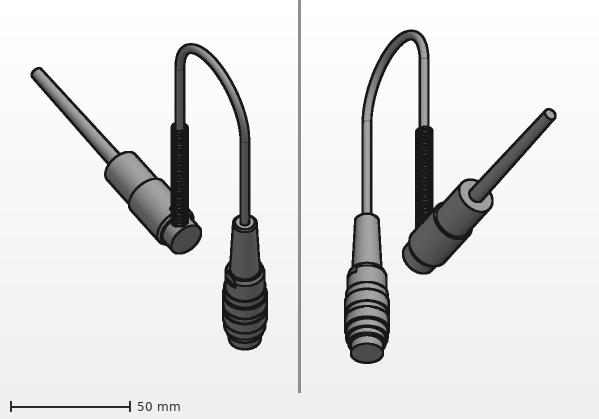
import cadquery as cq
import math


OVERALL_LENGTH = 169.5

ROD_TIP_DIAMETER = 5.1
ROD_BASE_DIAMETER = 6.5

BARREL_DIAMETER = 16.0
GRIP_DIAMETER = 18.1
STUB_DIAMETER = 15.0
BARREL_START = -45.3
GRIP_START = -25.3
GRIP_END = -2.0
STUB_END = 5.0
GRIP_CHAMFER_LENGTH = 1.5
GRIP_CHAMFER_DEPTH = 0.8
VENT_DIAMETER = 1.5
VENT_X = -6.1
VENT_DEPTH = 2.5

CABLE_DIAMETER = 3.7
LEG_SPACING = 50.0
BEND_CENTER_Z = 100.0

SPRING_DIAMETER = 7.0
WIRE_DIAMETER = 1.0
SPRING_TURNS = 29
SPRING_PITCH = 2 * WIRE_DIAMETER
SPRING_SEAT_Z = 5.5

CONNECTOR_X = LEG_SPACING
CONNECTOR_BOTTOM_Z = -20.0
PLUG_DIAMETER = 13.5
COLLAR_DIAMETER = 15.6
SLEEVE_DIAMETER = 17.5
BAND_DIAMETER = 18.5
SHELL_DIAMETER = 16.5
SHELL_TOP_DIAMETER = 14.5
PLUG_TOP = 4.4
COLLAR_CHAMFER = 0.7
COLLAR_TOP = 8.0
SLEEVE_TOP = 30.9
BAND_TAPER_LENGTH = 0.7
LOWER_BAND_START = 11.7
UPPER_BAND_END = 27.3
GROOVE_BOTTOM = 17.8
GROOVE_TOP = 20.9
SHELL_CHAMFER_START = 39.8
SHELL_TOP = 41.9
FLAT_SPACING = 14.4
FLAT_BOTTOM = 37.8

BOOT_BASE_DIAMETER = 12.5
BOOT_TOP_DIAMETER = 10.0
BOOT_CHAMFER = 0.8
BOOT_TOP = 70.0


def turned_z(points):
    """Revolve a (radius, height above the connector bottom) outline around the connector axis."""
    return (
        cq.Workplane("XZ")
        .polyline(points)
        .close()
        .revolve(360, (0, 0, 0), (0, 1, 0))
        .translate((CONNECTOR_X, 0, CONNECTOR_BOTTOM_Z))
    )


def upright_cylinder(diameter, bottom_z, top_z, x=0):
    return cq.Workplane("XY", origin=(x, 0, bottom_z)).circle(diameter / 2).extrude(top_z - bottom_z)


def x_cylinder(diameter, start, end):
    return cq.Workplane("YZ", origin=(start, 0, 0)).circle(diameter / 2).extrude(end - start)


def make_rod():
    tip_x = CONNECTOR_X + BAND_DIAMETER / 2 - OVERALL_LENGTH
    return (
        cq.Workplane("YZ", origin=(BARREL_START, 0, 0))
        .circle(ROD_BASE_DIAMETER / 2)
        .workplane(offset=tip_x - BARREL_START)
        .circle(ROD_TIP_DIAMETER / 2)
        .loft()
    )


def make_housing():
    grip = x_cylinder(GRIP_DIAMETER, GRIP_START, GRIP_END)
    grip = grip.faces(">X").chamfer(GRIP_CHAMFER_LENGTH, GRIP_CHAMFER_DEPTH)
    body = x_cylinder(BARREL_DIAMETER, BARREL_START, GRIP_START)
    body = body.union(grip).union(x_cylinder(STUB_DIAMETER, GRIP_END, STUB_END))

    spring_seat = upright_cylinder(SPRING_DIAMETER, SPRING_SEAT_Z, GRIP_DIAMETER)
    cable_socket = upright_cylinder(CABLE_DIAMETER, 0, GRIP_DIAMETER)
    vent_bottom = GRIP_DIAMETER / 2 - VENT_DEPTH
    vent = upright_cylinder(VENT_DIAMETER, vent_bottom, GRIP_DIAMETER, x=VENT_X)
    return body.cut(spring_seat).cut(cable_socket).cut(vent)


def make_cable():
    boot_top_z = CONNECTOR_BOTTOM_Z + BOOT_TOP
    path = (
        cq.Workplane("XZ")
        .lineTo(0, BEND_CENTER_Z)
        .threePointArc(
            (LEG_SPACING / 2, BEND_CENTER_Z + LEG_SPACING / 2),
            (LEG_SPACING, BEND_CENTER_Z),
        )
        .lineTo(LEG_SPACING, boot_top_z)
    )
    return cq.Workplane("XY").circle(CABLE_DIAMETER / 2).sweep(path)


def make_spring():
    """One helical wire; the gap between turns equals the wire thickness."""
    coil_radius = (SPRING_DIAMETER - WIRE_DIAMETER) / 2
    helix = cq.Wire.makeHelix(SPRING_PITCH, SPRING_TURNS * SPRING_PITCH, coil_radius)
    rise_angle = math.degrees(math.atan(SPRING_PITCH / (2 * math.pi * coil_radius)))
    wire_end = cq.Workplane("XZ", origin=(coil_radius, 0, 0)).transformed(rotate=(rise_angle, 0, 0))
    coil = wire_end.circle(WIRE_DIAMETER / 2).sweep(helix, isFrenet=True)
    return coil.translate((0, 0, SPRING_SEAT_Z + WIRE_DIAMETER / 2))


def make_band(bottom, top, wide_bottom, wide_top):
    """A raised ring on the sleeve; it tapers where an end and its wide part differ in height."""
    sleeve = SLEEVE_DIAMETER / 2
    band = BAND_DIAMETER / 2
    return turned_z([
        (0, bottom),
        (sleeve, bottom),
        (band, wide_bottom),
        (band, wide_top),
        (sleeve, top),
        (0, top),
    ])


def make_connector():
    plug = PLUG_DIAMETER / 2
    collar = COLLAR_DIAMETER / 2
    sleeve = SLEEVE_DIAMETER / 2
    shell = SHELL_DIAMETER / 2
    body = turned_z([
        (0, 0),
        (plug, 0),
        (plug, PLUG_TOP),
        (collar - COLLAR_CHAMFER, PLUG_TOP),
        (collar, PLUG_TOP + COLLAR_CHAMFER),
        (collar, COLLAR_TOP),
        (sleeve, COLLAR_TOP),
        (sleeve, SLEEVE_TOP),
        (shell, SLEEVE_TOP),
        (shell, SHELL_CHAMFER_START),
        (SHELL_TOP_DIAMETER / 2, SHELL_TOP),
        (0, SHELL_TOP),
    ])
    lower = make_band(LOWER_BAND_START, GROOVE_BOTTOM, LOWER_BAND_START + BAND_TAPER_LENGTH, GROOVE_BOTTOM)
    upper = make_band(GROOVE_TOP, UPPER_BAND_END, GROOVE_TOP, UPPER_BAND_END - BAND_TAPER_LENGTH)
    body = body.union(lower).union(upper)

    flat_height = SHELL_TOP - FLAT_BOTTOM
    flat_bottom_z = CONNECTOR_BOTTOM_Z + FLAT_BOTTOM
    for side in (-1, 1):
        cutter_y = side * (FLAT_SPACING + SHELL_DIAMETER) / 2
        cutter = (
            cq.Workplane("XY", origin=(CONNECTOR_X, cutter_y, flat_bottom_z))
            .rect(SHELL_DIAMETER, SHELL_DIAMETER)
            .extrude(flat_height)
        )
        body = body.cut(cutter)
    return body


def make_boot():
    top = BOOT_TOP_DIAMETER / 2
    return turned_z([
        (0, SHELL_TOP),
        (BOOT_BASE_DIAMETER / 2, SHELL_TOP),
        (top, BOOT_TOP - BOOT_CHAMFER),
        (top - BOOT_CHAMFER, BOOT_TOP),
        (0, BOOT_TOP),
    ])


rod = make_rod()
housing = make_housing()
cable = make_cable()
spring = make_spring()
connector = make_connector()
boot = make_boot()

result = cq.Compound.makeCompound([
    rod.val(),
    housing.solids().val(),
    cable.val(),
    spring.val(),
    connector.solids().val(),
    boot.val(),
])